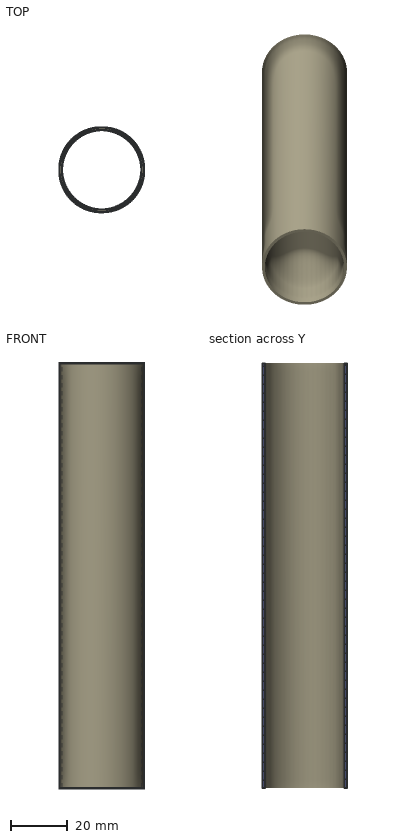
import cadquery as cq

outer_diameter = 30.0
wall_thickness = 1.0
length = 150.0

inner_diameter = outer_diameter - 2 * wall_thickness

result = (
    cq.Workplane("XY")
    .circle(outer_diameter / 2)
    .circle(inner_diameter / 2)
    .extrude(length)
)